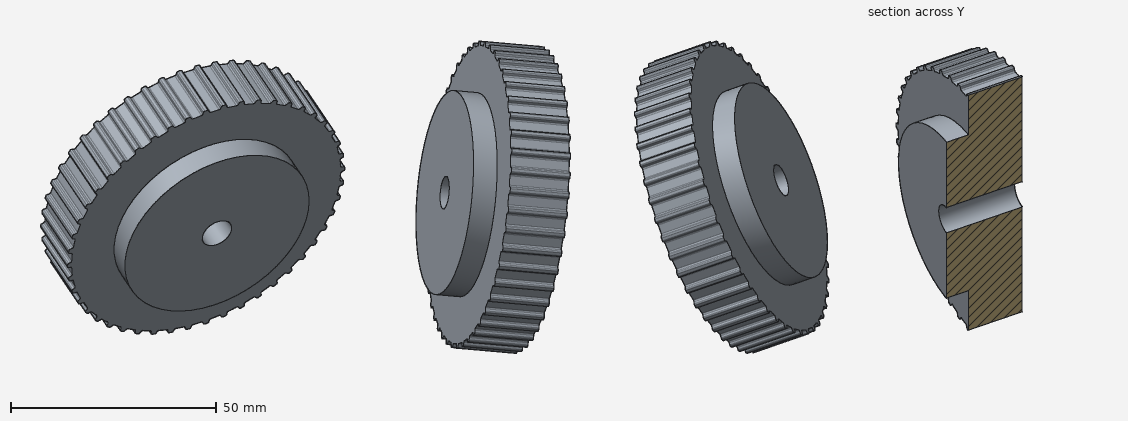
import cadquery as cq
import math

outer_diameter = 75.15
tooth_count = 48
total_length = 21.0
rim_length = 14.95
hub_diameter = 50.0
bore_diameter = 8.0

groove_width = 4.2
groove_depth = 1.05
groove_corner_radius = 0.41
flank_angle = 20.0

outer_radius = outer_diameter / 2
pitch_angle = 360.0 / tooth_count


def groove_cutter():
    """One trapezoidal groove with rounded lips and rounded floor corners, centred on +Z."""
    flank = math.radians(flank_angle)
    mid_turn = (math.pi / 2 - flank) / 2
    radius = groove_corner_radius

    mouth_half = groove_width / 2
    mouth_z = math.sqrt(outer_radius**2 - mouth_half**2)
    floor_z = mouth_z - groove_depth
    clear_z = outer_radius + groove_depth

    def arc_offset(turn):
        return radius * math.sin(turn), radius * (1 - math.cos(turn))

    end_y, end_z = arc_offset(2 * mid_turn)
    mid_y, mid_z = arc_offset(mid_turn)

    flank_height = groove_depth - 2 * end_z
    floor_half = mouth_half - 2 * end_y - flank_height * math.tan(flank)

    return (
        cq.Workplane("YZ")
        .moveTo(-mouth_half, clear_z)
        .lineTo(-mouth_half, mouth_z)
        .threePointArc((-mouth_half + mid_y, mouth_z - mid_z), (-mouth_half + end_y, mouth_z - end_z))
        .lineTo(-floor_half - end_y, floor_z + end_z)
        .threePointArc((-floor_half - mid_y, floor_z + mid_z), (-floor_half, floor_z))
        .lineTo(floor_half, floor_z)
        .threePointArc((floor_half + mid_y, floor_z + mid_z), (floor_half + end_y, floor_z + end_z))
        .lineTo(mouth_half - end_y, mouth_z - end_z)
        .threePointArc((mouth_half - mid_y, mouth_z - mid_z), (mouth_half, mouth_z))
        .lineTo(mouth_half, clear_z)
        .close()
        .extrude(rim_length)
    )


def toothed_rim():
    """Disc with evenly spaced grooves, leaving a tooth centred on each of the Y and Z axes."""
    blank = cq.Workplane("YZ").circle(outer_radius).extrude(rim_length)
    groove = groove_cutter()
    grooves = cq.Workplane("YZ")
    for index in range(tooth_count):
        angle = (index + 0.5) * pitch_angle
        grooves = grooves.add(groove.rotate((0, 0, 0), (1, 0, 0), angle))
    return blank.cut(cq.Workplane(cq.Compound.makeCompound(grooves.vals())))


hub = cq.Workplane("YZ").circle(hub_diameter / 2).extrude(total_length)
bore = cq.Workplane("YZ").circle(bore_diameter / 2).extrude(total_length)

result = toothed_rim().union(hub).cut(bore)